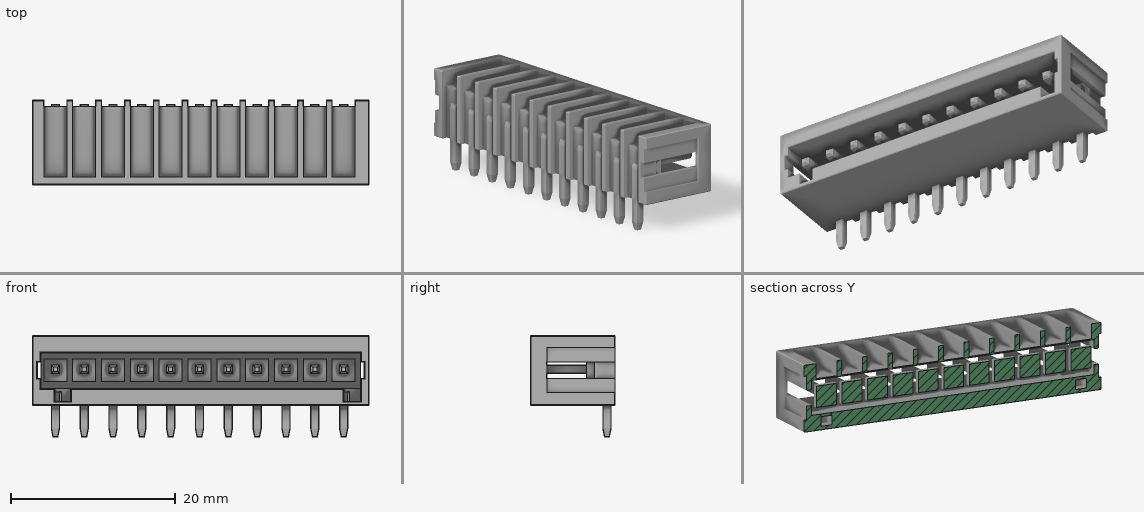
import cadquery as cq
import math


pin_count = 11
pitch = 3.5
pin_size = 1.0
bend_radius = pin_size
pin_axis_z = 4.4
leg_length = 3.8
leg_tip_length = 1.0
leg_tip_size = 0.6
contact_tip_length = 0.4
contact_tip_size = 0.5
contact_setback = 1.0

left_margin = 2.8
housing_length = 40.9
housing_depth = 10.3
housing_height = 8.5
outer_chamfer = 0.1
leg_to_rear = 1.0

x_left = -left_margin
x_right = x_left + housing_length
y_rear = leg_to_rear
y_front = y_rear - housing_depth
pin_positions = [index * pitch for index in range(pin_count)]

cavity_wall = 1.05
cavity_floor = 2.05
cavity_ceiling = 6.4
back_wall_thickness = 2.5
mouth_flare = 0.1
mouth_angle = 45
x_cavity_left = x_left + cavity_wall
x_cavity_right = x_right - cavity_wall
y_back_wall = y_rear - back_wall_thickness

boss_width = 2.8
boss_bottom = 2.9
boss_top = 5.65
boss_length = 1.0

notch_floor = 0.5
notch_depth = 6.1
left_notch_start = 2.75
left_notch_width = 1.9
right_notch_start = 3.05
relief_width = 1.4
relief_top = 1.65

channel_width = 2.8
channel_floor = 6.6
front_bar = 1.0
rear_channel_depth = 0.75

front_post = 2.0
end_recess_depth = 0.35
end_recess_bottom = 1.6
end_recess_top = 7.05
window_bottom = 3.3
window_top = 5.25
window_front_inset = 0.6


def block(x_span, y_span, z_span):
    """Box between two limits on each axis."""
    spans = (x_span, y_span, z_span)
    sizes = [high - low for low, high in spans]
    return cq.Workplane("XY").box(*sizes, centered=False).translate([low for low, _ in spans])


def front_pocket(x_span, z_span, y_end):
    """Cutter running from the front face back to y_end, with a flared mouth."""
    pocket = block(x_span, (y_front, y_end), z_span)
    width = x_span[1] - x_span[0] + 2 * mouth_flare
    height = z_span[1] - z_span[0] + 2 * mouth_flare
    flare = (
        cq.Workplane("XZ", origin=(sum(x_span) / 2, y_front, sum(z_span) / 2))
        .rect(width, height)
        .extrude(-mouth_flare, taper=mouth_angle)
    )
    return pocket.union(flare)


def plug_cavity():
    """Cavity with its keying notches and the reliefs behind them for the end pin legs."""
    cavity = front_pocket((x_cavity_left, x_cavity_right), (cavity_floor, cavity_ceiling), y_back_wall)
    left_start = x_left + left_notch_start
    notch_spans = [
        (left_start, left_start + left_notch_width),
        (x_right - right_notch_start, x_cavity_right),
    ]
    y_notch_end = y_front + notch_depth
    for x_span in notch_spans:
        cavity = cavity.union(front_pocket(x_span, (notch_floor, cavity_floor), y_notch_end))
    for x in (pin_positions[0], pin_positions[-1]):
        x_span = (x - relief_width / 2, x + relief_width / 2)
        cavity = cavity.union(block(x_span, (y_notch_end, y_rear), (notch_floor, relief_top)))
    return cavity


def contact_bosses():
    bosses = cq.Workplane("XY")
    for x in pin_positions:
        x_span = (x - boss_width / 2, x + boss_width / 2)
        boss = block(x_span, (y_back_wall - boss_length, y_back_wall), (boss_bottom, boss_top))
        bosses = bosses.add(boss)
    return bosses.combine()


def pole_channels():
    channels = cq.Workplane("XY")
    for x in pin_positions:
        x_span = (x - channel_width / 2, x + channel_width / 2)
        over_roof = block(x_span, (y_front + front_bar, y_rear), (channel_floor, housing_height))
        down_rear = block(x_span, (y_rear - rear_channel_depth, y_rear), (0, housing_height))
        channels = channels.add(over_roof.union(down_rear))
    return channels.combine()


def left_end_cut():
    """Outer recess, window and front slot of the left end wall."""
    y_post = y_front + front_post
    x_recess = x_left + end_recess_depth
    x_slot = x_left + window_front_inset
    window_z = (window_bottom, window_top)
    recess = block((x_left, x_recess), (y_post, y_rear), (end_recess_bottom, end_recess_top))
    window = block((x_left, x_cavity_left), (y_post, y_rear), window_z)
    slot = front_pocket((x_slot, x_cavity_left), window_z, y_post)
    return recess.union(window).union(slot)


def end_cuts():
    left = left_end_cut()
    right = left.mirror("YZ", ((x_left + x_right) / 2, 0, 0))
    return left.union(right)


def square_tip(plane, origin, base, end, length):
    """Frustum from a square base to a smaller square end."""
    taper = math.degrees(math.atan2((base - end) / 2, length))
    return cq.Workplane(plane, origin=origin).rect(base, base).extrude(length, taper=taper)


def bent_pin(x):
    """Square pin bent from a solder leg into a contact, tapered at both ends."""
    half = pin_size / 2
    x_span = (x - half, x + half)
    y_tip_base = y_front + contact_setback + contact_tip_length
    z_tip_base = leg_tip_length - leg_length
    leg = block(x_span, (-half, half), (z_tip_base, pin_axis_z + half))
    contact = block(x_span, (y_tip_base, half), (pin_axis_z - half, pin_axis_z + half))
    body = leg.union(contact).edges(">Y and >Z").fillet(bend_radius)
    contact_tip = square_tip("XZ", (x, y_tip_base, pin_axis_z), pin_size, contact_tip_size, contact_tip_length)
    leg_tip = square_tip("XY", (x, 0, 0), pin_size, leg_tip_size, leg_tip_length)
    leg_tip = leg_tip.mirror("XY").translate((0, 0, z_tip_base))
    return body.union(contact_tip).union(leg_tip)


housing = block((x_left, x_right), (y_front, y_rear), (0, housing_height))
housing = housing.edges().chamfer(outer_chamfer)
housing = housing.cut(plug_cavity()).cut(pole_channels()).cut(end_cuts())
housing = housing.union(contact_bosses())

result = housing
for pin_x in pin_positions:
    result = result.union(bent_pin(pin_x))